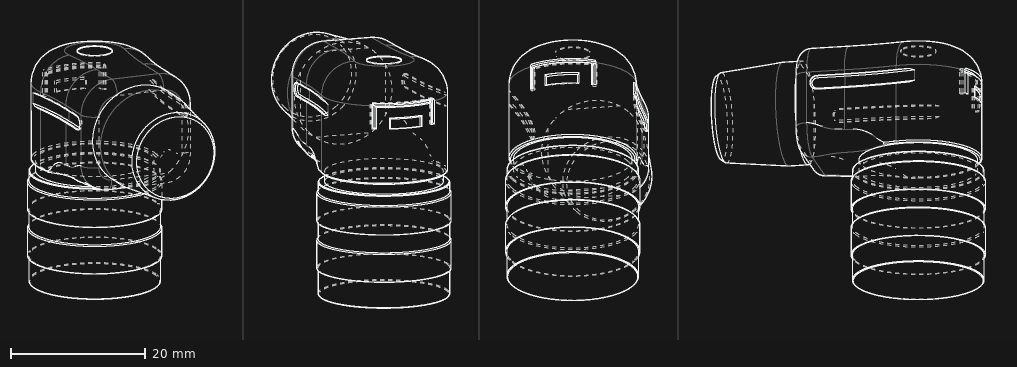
import cadquery as cq
import math


COLLAR_RADIUS = 9.8
RING_RADIUS = 10.0
RING_HEIGHT = 4.45
RING_BASES = (4, 11.2)
RING_CHAMFER = RING_RADIUS - COLLAR_RADIUS
COLLAR_TOP = 17.2
COLLAR_CHAMFER = 0.12
NECK_RADIUS = 8.85

HOUSING_BOTTOM = 18.77
HOUSING_TOP = 35.75
HOUSING_RADIUS = 9.5
HOUSING_CHAMFER = 0.25
CROWN_FILLET = 5.0
ARM_HALF_WIDTH = 8.75
ARM_STRAIGHT_START = 9.45
ARM_END = 17.15
ARM_END_FILLET = 2

ARM_CAP_START = ARM_END - ARM_END_FILLET

CAP_LOWER_ROUND = 4.1
LOWER_ROUND = (
    (1.8, 0.35),
    (5.23, 1.65),
    (8.05, 2.7),
    (10.85, 2.9),
    (12.85, 3.4),
    (ARM_CAP_START, CAP_LOWER_ROUND),
)

OUTLET_AXIS_Z = 27.15
OUTLET_RADIUS = 7.75
TAPER_START = 20.1
TAPER_END = 29.5
TAPER_END_RADIUS = 6.75
OUTLET_END = 30.2
OUTLET_END_RADIUS = 6.27

SLOT_HEIGHT = 2.1
SLOT_CENTER_Z = 29.1
SLOT_END = 14.67
SLOT_DEPTH = 0.5
SLOT_FLOOR_CHAMFER = 0.25
SLOT_CUTTER_START = -3.2

LATCH_WIDTH = 9.9
LATCH_TOP = 31.15
LATCH_BOTTOM = 27.25
LATCH_GROOVE_WIDTH = 0.6
LATCH_GROOVE_DEPTH = 0.85
LATCH_FLOOR_CHAMFER = 0.2
WINDOW_WIDTH = 5.15
WINDOW_HEIGHT = 1.7
WINDOW_DEPTH = 0.3
WINDOW_FLOOR_CHAMFER = 0.25

BADGE_RADIUS = 2.635
BADGE_DEPTH = 0.12

HOLLOW_RADIUS = (
    (ARM_STRAIGHT_START**2 + ARM_HALF_WIDTH**2 - HOUSING_RADIUS**2)
    / (2 * (HOUSING_RADIUS - ARM_HALF_WIDTH))
)
HOLLOW_CENTER_Y = ARM_HALF_WIDTH + HOLLOW_RADIUS
CENTER_DISTANCE = HOUSING_RADIUS + HOLLOW_RADIUS
BLEND_X = ARM_STRAIGHT_START * HOUSING_RADIUS / CENTER_DISTANCE
BLEND_Y = HOLLOW_CENTER_Y * HOUSING_RADIUS / CENTER_DISTANCE


def arm_side_y(x, inset=0.0):
    """Half width of the arm at x, moved inward by inset."""
    if x >= ARM_STRAIGHT_START:
        return ARM_HALF_WIDTH - inset
    radius = HOLLOW_RADIUS + inset
    return HOLLOW_CENTER_Y - math.sqrt(radius**2 - (ARM_STRAIGHT_START - x) ** 2)


def mirrored_pair(body):
    return body.union(body.mirror("XZ"))


def cylinder(radius, bottom, top):
    return cq.Workplane("XY").workplane(offset=bottom).circle(radius).extrude(top - bottom)


def make_plug():
    plug = cylinder(COLLAR_RADIUS, 0, COLLAR_TOP).edges().chamfer(COLLAR_CHAMFER)
    plug = plug.union(cylinder(NECK_RADIUS, COLLAR_TOP - 0.4, HOUSING_BOTTOM + 0.4))
    for base in RING_BASES:
        ring = cylinder(RING_RADIUS, base, base + RING_HEIGHT)
        plug = plug.union(ring.edges(">Z").chamfer(RING_CHAMFER))
    return plug


def make_lower_round_cutter():
    """Corner sliver outside a quarter round whose radius grows along the arm."""
    margin = 0.4
    sections = []
    for x, radius in LOWER_ROUND:
        side = arm_side_y(x)
        diagonal = radius * (1 - math.sqrt(0.5))
        section = (
            cq.Workplane("YZ", origin=(x, 0, HOUSING_BOTTOM))
            .moveTo(side, radius)
            .threePointArc((side - diagonal, diagonal), (side - radius, 0))
            .lineTo(side - radius, -margin)
            .lineTo(side + margin, -margin)
            .lineTo(side + margin, radius)
            .close()
        )
        sections.append(section.val())
    return cq.Workplane(cq.Solid.makeLoft(sections))


def make_housing():
    mid_x = (BLEND_X + ARM_STRAIGHT_START) / 2
    housing = (
        cq.Workplane("XY", origin=(0, 0, HOUSING_BOTTOM))
        .moveTo(BLEND_X, BLEND_Y)
        .threePointArc((-HOUSING_RADIUS, 0), (BLEND_X, -BLEND_Y))
        .threePointArc((mid_x, -arm_side_y(mid_x)), (ARM_STRAIGHT_START, -ARM_HALF_WIDTH))
        .lineTo(ARM_CAP_START, -ARM_HALF_WIDTH)
        .lineTo(ARM_CAP_START, ARM_HALF_WIDTH)
        .lineTo(ARM_STRAIGHT_START, ARM_HALF_WIDTH)
        .threePointArc((mid_x, arm_side_y(mid_x)), (BLEND_X, BLEND_Y))
        .close()
        .extrude(HOUSING_TOP - HOUSING_BOTTOM)
    )
    housing = housing.faces(">Z").edges("not >X").fillet(CROWN_FILLET)
    housing = housing.faces("<Z").edges("<X").chamfer(HOUSING_CHAMFER)
    return housing.cut(mirrored_pair(make_lower_round_cutter()))


def make_arm_cap():
    """Rounded end of the arm, with the same section as the end of the housing."""
    length = 2 * ARM_END_FILLET
    height = HOUSING_TOP - HOUSING_BOTTOM
    cap = cq.Workplane("XY", origin=(ARM_END - length, 0, HOUSING_BOTTOM)).box(
        length, 2 * ARM_HALF_WIDTH, height, centered=(False, True, False)
    )
    cap = cap.edges("|X and >Z").fillet(CROWN_FILLET)
    cap = cap.edges("|X and <Z").fillet(CAP_LOWER_ROUND)
    cap = cap.faces(">X").edges().fillet(ARM_END_FILLET)
    return cap.faces(">X").workplane(offset=-ARM_END_FILLET).split(keepTop=True)


def make_outlet():
    return (
        cq.Workplane("XZ", origin=(0, 0, OUTLET_AXIS_Z))
        .moveTo(ARM_END, 0)
        .lineTo(ARM_END, OUTLET_RADIUS)
        .lineTo(TAPER_START, OUTLET_RADIUS)
        .lineTo(TAPER_END, TAPER_END_RADIUS)
        .lineTo(OUTLET_END, OUTLET_END_RADIUS)
        .lineTo(OUTLET_END, 0)
        .close()
        .revolve(360, (0, 0, 0), (1, 0, 0))
    )


def make_slot_cutter():
    """Slot that runs parallel to the arm side and fades out on the housing cylinder."""
    start = SLOT_CUTTER_START
    half_height = SLOT_HEIGHT / 2
    round_center_x = SLOT_END - half_height
    outer_y = HOUSING_RADIUS + 2
    slot = (
        cq.Workplane("XZ", origin=(0, outer_y, SLOT_CENTER_Z))
        .moveTo(start, -half_height)
        .lineTo(round_center_x, -half_height)
        .threePointArc((SLOT_END, 0), (round_center_x, half_height))
        .lineTo(start, half_height)
        .close()
        .extrude(outer_y)
    )
    mid_x = (start + ARM_STRAIGHT_START) / 2
    floor_end_y = arm_side_y(ARM_STRAIGHT_START, SLOT_DEPTH)
    core = (
        cq.Workplane("XY", origin=(0, 0, HOUSING_BOTTOM))
        .moveTo(start, arm_side_y(start, SLOT_DEPTH))
        .threePointArc((mid_x, arm_side_y(mid_x, SLOT_DEPTH)), (ARM_STRAIGHT_START, floor_end_y))
        .lineTo(ARM_END, floor_end_y)
        .lineTo(ARM_END, 0)
        .lineTo(start, 0)
        .close()
        .extrude(HOUSING_TOP - HOUSING_BOTTOM)
    )
    slot = slot.cut(core)
    return slot.faces("<Y").edges("not |Z").chamfer(SLOT_FLOOR_CHAMFER)


def latch_block(width, height):
    """Block standing on the latch base line and reaching past the back of the housing."""
    reach = HOUSING_RADIUS + 0.4
    return cq.Workplane("XY", origin=(-reach, 0, LATCH_BOTTOM)).box(
        reach, width, height, centered=(False, True, False)
    )


def latch_recess(outline, depth, floor_chamfer):
    """Cutter of even depth below the housing cylinder, beveled along its floor except at the base."""
    cutter = outline.cut(cylinder(HOUSING_RADIUS - depth, LATCH_BOTTOM, LATCH_TOP))
    floor = cutter.faces("%CYLINDER").faces(">X")
    return floor.edges("not <Z").chamfer(floor_chamfer)


def make_latch_groove():
    """Upside-down U groove around the back of the housing."""
    height = LATCH_TOP - LATCH_BOTTOM
    outline = latch_block(LATCH_WIDTH, height).edges("|X and >Z").fillet(LATCH_GROOVE_WIDTH / 2)
    tongue = latch_block(LATCH_WIDTH - 2 * LATCH_GROOVE_WIDTH, height - LATCH_GROOVE_WIDTH)
    return latch_recess(outline.cut(tongue), LATCH_GROOVE_DEPTH, LATCH_FLOOR_CHAMFER)


def make_latch_window():
    """Shallow rectangular window inside the U groove."""
    outline = latch_block(WINDOW_WIDTH, WINDOW_HEIGHT)
    return latch_recess(outline, WINDOW_DEPTH, WINDOW_FLOOR_CHAMFER)


result = make_housing().union(make_arm_cap()).union(make_outlet()).union(make_plug())
result = result.cut(mirrored_pair(make_slot_cutter()))
result = result.cut(make_latch_groove()).cut(make_latch_window())
result = result.cut(cylinder(BADGE_RADIUS, HOUSING_TOP - BADGE_DEPTH, HOUSING_TOP))